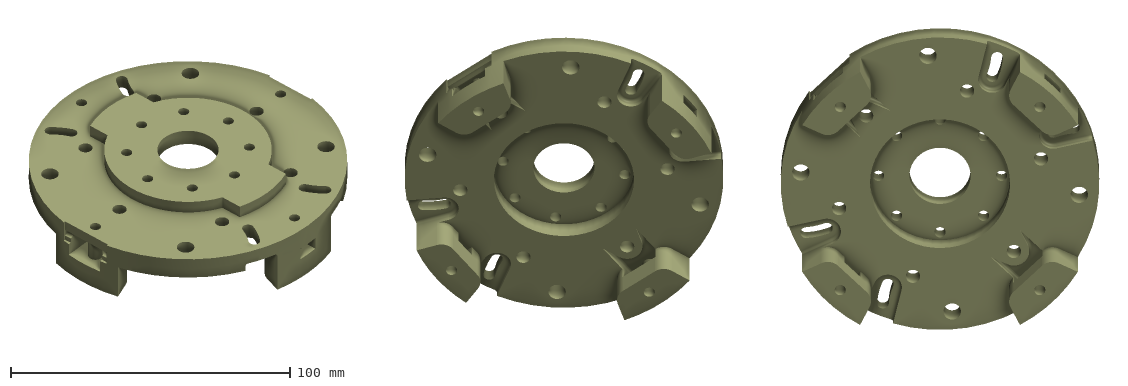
import cadquery as cq
import math

foot_height = 13.3
plate_thickness = 8.3
hub_height = 4.8
plate_top = foot_height + plate_thickness
total_height = plate_top + hub_height

plate_radius = 57.0
hub_radius = 30.0
hub_lobe_radius = 37.6
hub_lobe_width = 25.1
bore_diameter = 21.9
bore_wall_height = 6.0
cavity_radius = 25.1

foot_angles = (0, 90, 180, 270)
foot_width = 29.3
foot_inner_distance = 44.3
foot_corner_radius = 5.2
foot_flank_angle = 19.0
window_bottom = 8.5
side_window_width = 8.0
front_window_width = 14.8

tube_distance = 50.5
tube_outer_diameter = 5.2
tube_hole_diameter = 4.0

hub_hole_count = 8
hub_hole_circle = 22.0
hub_hole_diameter = 4.0
mount_hole_count = 6
mount_hole_circle = 37.4
mount_hole_diameter = 5.1
pivot_x = 32.1
pivot_y = 38.3
pivot_hole_diameter = 6.3

slot_swing_radius = 24.9
slot_width = 4.2
slot_start_angle = -67.0
slot_end_angle = -49.5

pocket_depth = 3.1
pocket_fillet = 1.0
nose_radius = 5.5
nose_flank_angle = 20.0

recess_width = 20.3
recess_distance = 55.4
groove_diameter = 2.5
groove_height = 16.5

overshoot = 5.7
outside = plate_radius + overshoot


def polar(center, radius, angle):
    """Point at a distance and an angle in degrees from a center."""
    turn = math.radians(angle)
    return (center[0] + radius * math.cos(turn), center[1] + radius * math.sin(turn))


def turned(shape, angle):
    """A shape turned about the vertical axis through the plate center."""
    return shape.rotate((0, 0, 0), (0, 0, 1), angle)


def four_way(shape):
    """A shape with its mirror copies across the XZ and YZ planes."""
    pair = shape.union(shape.mirror("XZ"))
    return pair.union(pair.mirror("YZ"))


def disk(radius, bottom, height):
    return cq.Workplane("XY").workplane(offset=bottom).circle(radius).extrude(height)


def hub():
    lobes = disk(hub_lobe_radius, plate_top, hub_height).intersect(
        cq.Workplane("XY").box(2 * outside, hub_lobe_width, 2 * total_height)
    )
    return disk(hub_radius, plate_top, hub_height).union(lobes)


def foot_half_width(distance):
    """Half width of a foot at a distance from the plate center; the foot narrows inward."""
    rim_distance = math.sqrt(plate_radius**2 - (foot_width / 2) ** 2)
    return foot_width / 2 + (distance - rim_distance) * math.tan(math.radians(foot_flank_angle))


def foot():
    """Column of the +X foot, running past the rim."""
    inner_half = foot_half_width(foot_inner_distance)
    outer_half = foot_half_width(outside)
    return (
        cq.Workplane("XY")
        .moveTo(foot_inner_distance, -inner_half)
        .lineTo(outside, -outer_half)
        .lineTo(outside, outer_half)
        .lineTo(foot_inner_distance, inner_half)
        .close()
        .extrude(foot_height)
        .edges("|Z and <X")
        .fillet(foot_corner_radius)
    )


def foot_window(width):
    """Radial opening through the +X foot, up to the underside of the plate."""
    length = outside - foot_inner_distance + overshoot
    return (
        cq.Workplane("XY")
        .workplane(offset=window_bottom)
        .center(outside - length / 2, 0)
        .rect(length, width)
        .extrude(foot_height - window_bottom)
    )


def swing_slot():
    """Curved slot in the +X +Y quarter, through the whole plate."""
    pivot = (pivot_x, pivot_y)
    middle_angle = (slot_start_angle + slot_end_angle) / 2
    inner = slot_swing_radius - slot_width / 2
    outer = slot_swing_radius + slot_width / 2
    return (
        cq.Workplane("XY")
        .moveTo(*polar(pivot, inner, slot_start_angle))
        .threePointArc(polar(pivot, inner, middle_angle), polar(pivot, inner, slot_end_angle))
        .tangentArcPoint(polar(pivot, outer, slot_end_angle), relative=False)
        .threePointArc(polar(pivot, outer, middle_angle), polar(pivot, outer, slot_start_angle))
        .tangentArcPoint(polar(pivot, inner, slot_start_angle), relative=False)
        .close()
        .extrude(total_height)
    )


def underside_pocket(outline):
    """Pocket cutter with a rounded ceiling edge, from a closed outline at the plate underside."""
    return outline.extrude(pocket_depth).faces(">Z").edges().fillet(pocket_fillet)


def slot_pocket():
    """Pocket around the +X +Y slot, widening from a round inner end to the rim along the foot side."""
    pivot = (pivot_x, pivot_y)
    wall_angle = (slot_start_angle + slot_end_angle) / 2 + 90
    center = polar(pivot, slot_swing_radius, slot_start_angle)
    foot_gap = center[1] - foot_half_width(center[0])
    end_radius = foot_gap * math.cos(math.radians(foot_flank_angle))
    wall_tangent = polar(center, end_radius, wall_angle + 90)
    foot_tangent = polar(center, end_radius, foot_flank_angle - 90)
    arc_middle = polar(center, end_radius, (wall_angle + foot_flank_angle) / 2 + 180)
    wall_length = (outside - wall_tangent[0]) / math.cos(math.radians(wall_angle))
    outline = (
        cq.Workplane("XY")
        .workplane(offset=foot_height)
        .moveTo(outside, foot_half_width(outside))
        .lineTo(*polar(wall_tangent, wall_length, wall_angle))
        .lineTo(*wall_tangent)
        .threePointArc(arc_middle, foot_tangent)
        .close()
    )
    return underside_pocket(outline)


def window_pocket():
    """Pocket behind the -Y window; a rounded nose around the mount hole closes its inner end."""
    half_width = front_window_width / 2
    nose_center = (0, -mount_hole_circle)
    right_tangent = polar(nose_center, nose_radius, -nose_flank_angle)
    left_tangent = (-right_tangent[0], right_tangent[1])
    flank_rise = (half_width - right_tangent[0]) / math.tan(math.radians(nose_flank_angle))
    inner_end = right_tangent[1] + flank_rise
    outline = (
        cq.Workplane("XY")
        .workplane(offset=foot_height)
        .moveTo(-half_width, -outside)
        .lineTo(half_width, -outside)
        .lineTo(half_width, inner_end)
        .lineTo(*right_tangent)
        .threePointArc((0, -mount_hole_circle - nose_radius), left_tangent)
        .lineTo(-half_width, inner_end)
        .close()
    )
    return underside_pocket(outline)


def rim_recess():
    """Flat recess in the rim above the -Y foot, with a round groove along it."""
    flat = (
        cq.Workplane("XY")
        .workplane(offset=foot_height)
        .center(0, -recess_distance - overshoot / 2)
        .rect(recess_width, overshoot)
        .extrude(plate_thickness)
    )
    groove = (
        cq.Workplane("YZ")
        .center(-recess_distance, groove_height)
        .circle(groove_diameter / 2)
        .extrude(recess_width / 2, both=True)
    )
    return flat.union(groove)


def plate_holes():
    """All round holes that run straight through the part."""
    pivots = [(x, y) for x in (-pivot_x, pivot_x) for y in (-pivot_y, pivot_y)]
    holes = disk(bore_diameter / 2, 0, total_height)
    start = cq.Workplane("XY")
    for layout, diameter in (
        (start.polarArray(hub_hole_circle, 0, 360, hub_hole_count), hub_hole_diameter),
        (start.polarArray(mount_hole_circle, 90, 360, mount_hole_count), mount_hole_diameter),
        (start.polarArray(tube_distance, 0, 360, len(foot_angles)), tube_hole_diameter),
        (start.pushPoints(pivots), pivot_hole_diameter),
    ):
        holes = holes.union(layout.circle(diameter / 2).extrude(total_height))
    return holes


clearance = disk(outside, 0, foot_height)
for angle in foot_angles:
    clearance = clearance.cut(turned(foot(), angle))
body = disk(plate_radius, 0, plate_top).cut(clearance).union(hub())

cavity_depth = total_height - bore_wall_height - foot_height
body = body.cut(disk(cavity_radius, foot_height, cavity_depth))

for angle in (0, 180):
    body = body.cut(turned(foot_window(side_window_width), angle))
    body = body.cut(turned(foot_window(front_window_width), angle + 90))
    body = body.cut(turned(window_pocket(), angle))
    body = body.cut(turned(rim_recess(), angle))
body = body.cut(four_way(slot_pocket())).cut(four_way(swing_slot()))

tubes = (
    cq.Workplane("XY")
    .polarArray(tube_distance, 0, 360, len(foot_angles))
    .circle(tube_outer_diameter / 2)
    .extrude(plate_top)
)
result = body.union(tubes).cut(plate_holes())